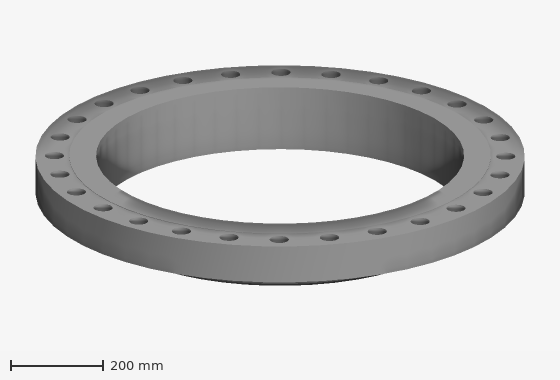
import cadquery as cq

outer_radius = 530.0
total_height = 144.0
bore_radius = 399.0

raised_face_radius = 457.0
raised_face_height = 1.0

hub_height = 59.0
hub_top_radius = 417.0
hub_bottom_radius = 407.0
weld_lip_radius = 401.0
weld_bevel_height = 6.0
hub_fillet_radius = 11.0

bolt_count = 28
bolt_circle_radius = 489.0
bolt_hole_diameter = 41.0

plate_top = total_height - raised_face_height


def ring_body():
    """Revolve the half section of the flange about Z."""
    section = (
        cq.Workplane("XZ")
        .moveTo(bore_radius, 0)
        .lineTo(weld_lip_radius, 0)
        .lineTo(hub_bottom_radius, weld_bevel_height)
        .lineTo(hub_top_radius, hub_height)
        .lineTo(outer_radius, hub_height)
        .lineTo(outer_radius, plate_top)
        .lineTo(raised_face_radius, plate_top)
        .lineTo(raised_face_radius, total_height)
        .lineTo(bore_radius, total_height)
        .close()
    )
    return section.revolve(360, (0, 0, 0), (0, 1, 0))


def fillet_hub_root(body):
    """Round the inner corner where the hub meets the plate underside."""
    margin = 1.0
    selection_reach = hub_top_radius + margin
    root_edge = cq.selectors.BoxSelector(
        (-selection_reach, -selection_reach, hub_height - margin),
        (selection_reach, selection_reach, hub_height + margin),
        boundingbox=True,
    )
    return body.edges(root_edge).fillet(hub_fillet_radius)


def drill_bolt_holes(body):
    """Cut the ring of through holes, the first one on the +X axis."""
    holes = (
        cq.Workplane("XY")
        .polarArray(bolt_circle_radius, 0, 360, bolt_count)
        .circle(bolt_hole_diameter / 2)
        .extrude(total_height)
    )
    return body.cut(holes)


result = drill_bolt_holes(fillet_hub_root(ring_body()))